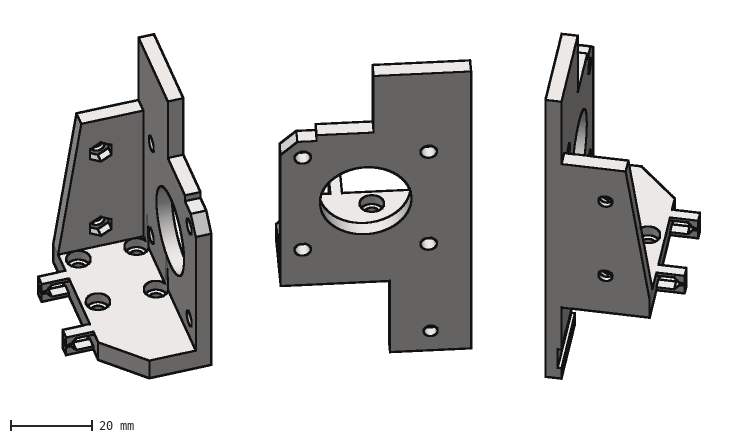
import cadquery as cq
import math


total_width = 46.9
total_depth = 33.0
total_height = 93.5

wall = 4.0
strip_width = 24.0
leg_width = 20.0
lip_end = 38.1
lip_height = 2.0
motor_face_height = 42.45
motor_face_chamfer = 4.1

floor_bottom = 24.0
floor_thickness = 6.0
floor_depth = 26.0
floor_chamfer = 10.0
side_wall_top_depth = 20.0

motor_x = 26.0
motor_above_floor = 21.5
motor_bore = 22.5
motor_bolt_hole = 4.0
motor_bolt_spacing = 31.0

screw_hole = 3.5
side_hole_depth = 15.0
nut_seat_thickness = 1.5
nut_across_corners = 6.4
side_hole_heights = (36.5, 61.5)
leg_hole_x = 10.0
leg_hole_z = 6.5

floor_screw_x = 7.0
floor_screw_depth = 6.7
floor_screw_spacing_x = 16.0
floor_screw_spacing_y = 15.0
counterbore = 6.0
counterbore_depth = 3.0
access_height = 15.0
access_taper = 1.6

groove_bottom = 3.55
groove_height = 6.3
groove_depth = 0.9

clip_positions = (10.0, 30.0)
clip_width = 2.9
clip_arm = 1.0
clip_gap = 0.75
hook_length = 1.3
hook_ramp = 1.3

back = total_depth
plate_front = back - wall
floor_front = back - floor_depth
floor_top = floor_bottom + floor_thickness
motor_face_top = floor_top + motor_face_height
motor_z = floor_top + motor_above_floor


def box(x0, x1, y0, y1, z0, z1):
    """Box spanning the given limits."""
    return cq.Workplane("XY").box(x1 - x0, y1 - y0, z1 - z0, centered=False).translate((x0, y0, z0))


def cylinder_z(diameter, x, y, z0, z1):
    """Vertical cylinder between two heights."""
    return cq.Workplane("XY", origin=(x, y, z0)).circle(diameter / 2).extrude(z1 - z0)


def back_plate():
    """Stepped vertical plate along the back."""
    outline = [
        (0, 0),
        (leg_width, 0),
        (leg_width, floor_bottom),
        (total_width, floor_bottom),
        (total_width, motor_face_top - motor_face_chamfer),
        (total_width - motor_face_chamfer, motor_face_top),
        (lip_end, motor_face_top),
        (lip_end, motor_face_top + lip_height),
        (strip_width, motor_face_top + lip_height),
        (strip_width, total_height),
        (0, total_height),
    ]
    return cq.Workplane("XZ", origin=(0, back, 0)).polyline(outline).close().extrude(wall)


def floor():
    """Horizontal shelf with its front right corner cut off."""
    outline = [
        (0, back),
        (0, floor_front),
        (total_width - floor_chamfer, floor_front),
        (total_width, floor_front + floor_chamfer),
        (total_width, back),
    ]
    return cq.Workplane("XY", origin=(0, 0, floor_bottom)).polyline(outline).close().extrude(floor_thickness)


def side_wall():
    """Left wall whose front edge leans back above the floor."""
    outline = [
        (back, floor_bottom),
        (floor_front, floor_bottom),
        (floor_front, floor_top),
        (back - side_wall_top_depth, motor_face_top),
        (back, motor_face_top),
    ]
    return cq.Workplane("YZ").polyline(outline).close().extrude(wall)


def clip(x):
    """Pair of hooked arms reaching forward from the floor."""
    middle = floor_bottom + floor_thickness / 2
    half_gap = clip_gap / 2
    half_slot = floor_thickness / 2 - clip_arm
    slot = [
        (0, middle - half_gap),
        (hook_length, middle - half_gap),
        (hook_length + hook_ramp, middle - half_slot),
        (floor_front, middle - half_slot),
        (floor_front, middle + half_slot),
        (hook_length + hook_ramp, middle + half_slot),
        (hook_length, middle + half_gap),
        (0, middle + half_gap),
    ]
    block = box(x, x + clip_width, 0, floor_front, floor_bottom, floor_top)
    return block.cut(cq.Workplane("YZ", origin=(x, 0, 0)).polyline(slot).close().extrude(clip_width))


def plate_holes():
    """Motor bore, motor bolt holes and the leg screw hole, all along Y."""
    face = cq.Workplane("XZ", origin=(motor_x, back, motor_z))
    bore = face.circle(motor_bore / 2).extrude(wall)
    bolts = (
        face.rect(motor_bolt_spacing, motor_bolt_spacing, forConstruction=True)
        .vertices().circle(motor_bolt_hole / 2).extrude(wall)
    )
    leg_hole = cq.Workplane("XZ", origin=(leg_hole_x, back, leg_hole_z)).circle(screw_hole / 2).extrude(wall)
    return bore.union(bolts).union(leg_hole)


def side_holes():
    """Screw holes through the side wall, each with a hexagonal nut pocket, points up, in its inner face."""
    hole_y = back - side_hole_depth
    pocket_depth = wall - nut_seat_thickness
    shanks = (
        cq.Workplane("YZ").pushPoints([(hole_y, z) for z in side_hole_heights])
        .circle(screw_hole / 2).extrude(wall)
    )
    pockets = (
        cq.Workplane("ZY", origin=(wall, 0, 0)).pushPoints([(z, hole_y) for z in side_hole_heights])
        .polygon(6, nut_across_corners).extrude(pocket_depth)
    )
    return shanks.union(pockets)


def floor_screw(x, y):
    """Through hole, counterbore and the tapered access cone that grazes the back plate."""
    shank = cylinder_z(screw_hole, x, y, floor_bottom, floor_top)
    head = cylinder_z(counterbore, x, y, floor_top - counterbore_depth, floor_top)
    top_radius = counterbore / 2 - access_height * math.tan(math.radians(access_taper))
    access = cq.Workplane(
        cq.Solid.makeCone(counterbore / 2, top_radius, access_height, cq.Vector(x, y, floor_top))
    )
    return shank.union(head).union(access)


result = back_plate().union(floor()).union(side_wall())

for clip_x in clip_positions:
    result = result.union(clip(clip_x))

result = result.cut(plate_holes()).cut(side_holes())

for column in range(2):
    for row in range(2):
        screw_x = floor_screw_x + column * floor_screw_spacing_x
        screw_y = back - floor_screw_depth - row * floor_screw_spacing_y
        result = result.cut(floor_screw(screw_x, screw_y))

groove_floor = plate_front + groove_depth
groove_top = groove_bottom + groove_height
result = result.cut(box(0, leg_width, plate_front, groove_floor, groove_bottom, groove_top))